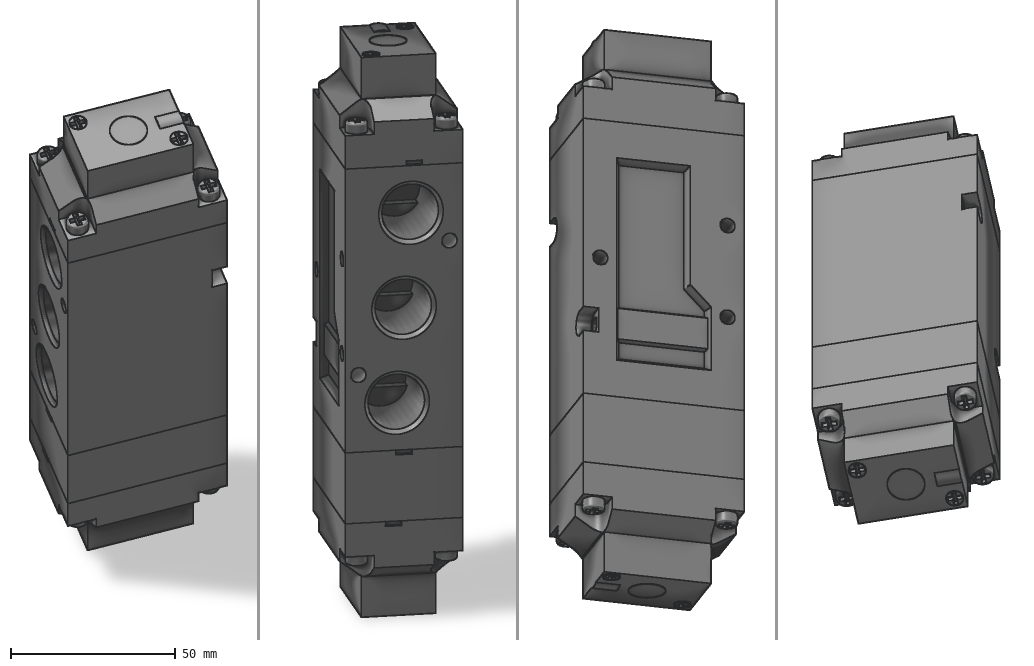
import cadquery as cq
import math

WIDTH = 36.5
DEPTH = 51.0
TOTAL_HEIGHT = 178.5
JOINT_Z = 56.2
BODY_HEIGHT = 90.0
BODY_BOTTOM = JOINT_Z - BODY_HEIGHT
BODY_MID = JOINT_Z - BODY_HEIGHT / 2

COVER_HEIGHT = 19.5
COVER_SLOPE_HEIGHT = 5.0
COVER_TOP_WIDTH = 23.0
COVER_TOP_DEPTH = 35.0
SCREW_X = 14.0
SCREW_Y = 21.0
SCREW_SEAT_HEIGHT = 10.5
SCREW_CLEARANCE_RADIUS = 4.6
SCREW_HEAD_RADIUS = 3.4
SCREW_HEAD_HEIGHT = 3.5
SCREW_HEAD_ROUND = 1.0

CAP_WIDTH = COVER_TOP_WIDTH
CAP_DEPTH = 34.0
RIDGE_HEIGHT = 0.5
RIDGE_WIDTH = 5.0
RIDGE_LENGTH = 7.7
CAP_HEIGHT = TOTAL_HEIGHT / 2 - JOINT_Z - COVER_HEIGHT - RIDGE_HEIGHT
CAP_SCREW_X = 7.9
CAP_SCREW_Y = 13.5
CAP_SCREW_RADIUS = 2.7
CAP_DISC_RADIUS = 5.7
SHALLOW_RECESS = 0.2

CROSS_WIDTH = 1.5
CROSS_DEPTH = 1.5
CROSS_TAPER = 15.0
CROSS_MARGIN = 0.27

NOTCH_WIDTH = 5.0
NOTCH_HEIGHT = 1.5
NOTCH_DEPTH = 1.5
NOTCH_STEP = 3.2

PORT_PITCH = 30.0
PORT_SHIFT = 2.1
PORT_MOUTH_RADIUS = 10.0
PORT_RADIUS = 8.7
PORT_END_RADIUS = 8.4
PORT_DEPTH = DEPTH / 2
PASSAGE_PITCH = 29.0
PASSAGE_HEIGHT = 7.0
PASSAGE_DEPTH = 3.5

MOUNT_X = 14.1
MOUNT_Z = 20.5
MOUNT_RADIUS = 2.3
MOUNT_SLOT_RADIUS = 4.0
MOUNT_SLOT_DEPTH = 4.8

SIDE_HOLE_Y = 20.2
SIDE_HOLE_Z = 15.0
SIDE_HOLE_RADIUS = 2.3
SIDE_HOLE_DEPTH = 9.0

PANEL_HALF_WIDTH = 15.0
PANEL_TOP = 44.5
PANEL_BOTTOM = -21.8
PANEL_STEP_Y = -8.4
PANEL_STEP_TOP = 5.5
PANEL_DEPTH = 2.5
PANEL_WALL_ANGLE = 30.0
PAD_TOP = -3.5
PAD_BOTTOM = -15.0
PAD_HEIGHT = 1.2


def block(width, depth, z_bottom, height):
    """Box centred on the Z axis."""
    return cq.Workplane("XY", origin=(0, 0, z_bottom)).box(width, depth, height, centered=(True, True, False))


def disc(x, y, z_bottom, radius, height):
    """Upright cylinder."""
    return cq.Workplane("XY", origin=(x, y, z_bottom)).circle(radius).extrude(height)


def cross_slot(x, y, z_top, length):
    """Cutter for a cross-shaped driver slot."""
    plane = cq.Workplane("XY", origin=(x, y, z_top))
    along_x = plane.rect(length, CROSS_WIDTH).extrude(-CROSS_DEPTH, taper=CROSS_TAPER)
    along_y = plane.rect(CROSS_WIDTH, length).extrude(-CROSS_DEPTH, taper=CROSS_TAPER)
    return along_x.union(along_y)


def key_notch(x, z_bottom):
    """Cutter for a small notch in the -Y face."""
    cutter = cq.Workplane("XY").box(NOTCH_WIDTH, NOTCH_DEPTH, NOTCH_HEIGHT, centered=(True, False, False))
    return cutter.translate((x, -DEPTH / 2, z_bottom))


def corner_clearance(side_x, side_y):
    """Cutter that frees one cover corner around its screw, with a round inner corner."""
    seat_z = JOINT_Z + SCREW_SEAT_HEIGHT
    height = COVER_HEIGHT - SCREW_SEAT_HEIGHT
    side_length = 4 * SCREW_CLEARANCE_RADIUS
    square = (
        cq.Workplane("XY", origin=(0, 0, seat_z))
        .center(
            side_x * (SCREW_X + SCREW_CLEARANCE_RADIUS),
            side_y * (SCREW_Y + SCREW_CLEARANCE_RADIUS),
        )
        .rect(side_length, side_length)
        .extrude(height)
    )
    inner_edge = cq.NearestToPointSelector((0, 0, seat_z))
    return square.edges("|Z").edges(inner_edge).fillet(SCREW_CLEARANCE_RADIUS)


def screw_head(x, y):
    """Round-edged screw head with a cross slot."""
    seat_z = JOINT_Z + SCREW_SEAT_HEIGHT
    head = disc(x, y, seat_z, SCREW_HEAD_RADIUS, SCREW_HEAD_HEIGHT)
    head = head.faces(">Z").edges().fillet(SCREW_HEAD_ROUND)
    slot_length = 2 * (SCREW_HEAD_RADIUS - SCREW_HEAD_ROUND)
    return head.cut(cross_slot(x, y, seat_z + SCREW_HEAD_HEIGHT, slot_length))


def make_cover():
    """Upper end cover: block with four sloping shoulders and a screw in each corner."""
    straight_height = COVER_HEIGHT - COVER_SLOPE_HEIGHT
    cover = block(WIDTH, DEPTH, JOINT_Z, straight_height)
    shoulders = (
        cq.Workplane("XY", origin=(0, 0, JOINT_Z + straight_height))
        .rect(WIDTH, DEPTH)
        .workplane(offset=COVER_SLOPE_HEIGHT)
        .rect(COVER_TOP_WIDTH, COVER_TOP_DEPTH)
        .loft(ruled=True)
    )
    cover = cover.union(shoulders)
    for side_x in (-1, 1):
        for side_y in (-1, 1):
            cover = cover.cut(corner_clearance(side_x, side_y))
            cover = cover.union(screw_head(side_x * SCREW_X, side_y * SCREW_Y))
    return cover.cut(key_notch(NOTCH_STEP, JOINT_Z))


def make_cap():
    """Upper end cap: block with two screws, a shallow disc and a low rounded ridge."""
    bottom = JOINT_Z + COVER_HEIGHT
    top = bottom + CAP_HEIGHT
    cap = block(CAP_WIDTH, CAP_DEPTH, bottom, CAP_HEIGHT)
    cap = cap.cut(disc(0, 0, top, CAP_DISC_RADIUS, -SHALLOW_RECESS))
    cross_length = 2 * (CAP_SCREW_RADIUS - CROSS_MARGIN)
    for side in (-1, 1):
        x = side * CAP_SCREW_X
        y = side * CAP_SCREW_Y
        cap = cap.cut(disc(x, y, top, CAP_SCREW_RADIUS, -SHALLOW_RECESS))
        cap = cap.cut(cross_slot(x, y, top, cross_length))
    ridge = (
        cq.Workplane("XZ", origin=(0, CAP_DEPTH / 2, top))
        .moveTo(-RIDGE_WIDTH / 2, 0)
        .threePointArc((0, RIDGE_HEIGHT), (RIDGE_WIDTH / 2, 0))
        .close()
        .extrude(RIDGE_LENGTH)
    )
    return cap.union(ridge)


def port_cutter(step):
    """Cutter for one port: 45 degree mouth, slightly tapered bore, flat passage at its end."""
    x = step * PORT_SHIFT
    z = BODY_MID + step * PORT_PITCH
    mouth_depth = PORT_MOUTH_RADIUS - PORT_RADIUS
    bore = (
        cq.Workplane("XY")
        .polyline([
            (0, 0),
            (PORT_MOUTH_RADIUS, 0),
            (PORT_RADIUS, mouth_depth),
            (PORT_END_RADIUS, PORT_DEPTH),
            (0, PORT_DEPTH),
        ])
        .close()
        .revolve(360, (0, 0), (0, 1))
        .translate((x, -DEPTH / 2, z))
    )
    end_y = PORT_DEPTH - DEPTH / 2
    passage_z = BODY_MID + step * PASSAGE_PITCH
    passage = (
        cq.Workplane("XZ", origin=(x, end_y, z))
        .circle(PORT_END_RADIUS)
        .extrude(-PASSAGE_DEPTH)
        .intersect(block(WIDTH, DEPTH, passage_z - PASSAGE_HEIGHT / 2, PASSAGE_HEIGHT))
    )
    return bore.union(passage)


def mount_cutter(side):
    """Cutter for one mounting hole along Y and its head slot at the +Y end."""
    x = side * MOUNT_X
    z = BODY_MID + side * MOUNT_Z
    plane = cq.Workplane("XZ", origin=(x, DEPTH / 2, z))
    hole = plane.circle(MOUNT_RADIUS).extrude(DEPTH)
    round_end = plane.circle(MOUNT_SLOT_RADIUS).extrude(MOUNT_SLOT_DEPTH)
    edge_distance = WIDTH / 2 - MOUNT_X
    open_side = (
        plane.center(side * edge_distance / 2, 0)
        .rect(edge_distance, 2 * MOUNT_SLOT_RADIUS)
        .extrude(MOUNT_SLOT_DEPTH)
    )
    return hole.union(round_end).union(open_side)


def side_hole(y, z):
    """Cutter for a blind hole in the -X face."""
    return cq.Workplane("YZ", origin=(-WIDTH / 2, y, z)).circle(SIDE_HOLE_RADIUS).extrude(SIDE_HOLE_DEPTH)


def panel_cutter():
    """Cutter for the recessed panel with leaning walls, leaving a raised pad across its floor."""
    slant_run = PANEL_STEP_Y + PANEL_HALF_WIDTH
    recess = (
        cq.Workplane("YZ", origin=(-WIDTH / 2, 0, 0))
        .polyline([
            (PANEL_HALF_WIDTH, PANEL_TOP),
            (PANEL_STEP_Y, PANEL_TOP),
            (PANEL_STEP_Y, PANEL_STEP_TOP),
            (-PANEL_HALF_WIDTH, PANEL_STEP_TOP - slant_run),
            (-PANEL_HALF_WIDTH, PANEL_BOTTOM),
            (PANEL_HALF_WIDTH, PANEL_BOTTOM),
        ])
        .close()
        .extrude(PANEL_DEPTH, taper=PANEL_WALL_ANGLE)
    )
    floor_x = PANEL_DEPTH - WIDTH / 2
    pad_run = PAD_HEIGHT * math.tan(math.radians(PANEL_WALL_ANGLE))
    pad = (
        cq.Workplane("XZ")
        .polyline([
            (floor_x, PAD_TOP),
            (floor_x - PAD_HEIGHT, PAD_TOP - pad_run),
            (floor_x - PAD_HEIGHT, PAD_BOTTOM + pad_run),
            (floor_x, PAD_BOTTOM),
        ])
        .close()
        .extrude(DEPTH / 2, both=True)
    )
    return recess.cut(pad)


def make_body():
    """Valve body with three ports, two mounting holes, three blind holes and the panel."""
    body = block(WIDTH, DEPTH, BODY_BOTTOM, BODY_HEIGHT)
    for step in (-1, 0, 1):
        body = body.cut(port_cutter(step))
    for side in (-1, 1):
        body = body.cut(mount_cutter(side))
        body = body.cut(side_hole(-SIDE_HOLE_Y, BODY_MID + side * SIDE_HOLE_Z))
    body = body.cut(side_hole(SIDE_HOLE_Y, BODY_MID))
    return body.cut(panel_cutter())


def make_spacer():
    """Block between the body and the lower cover, with one keying notch."""
    height = BODY_BOTTOM + JOINT_Z
    spacer = block(WIDTH, DEPTH, -JOINT_Z, height)
    return spacer.cut(key_notch(0, BODY_BOTTOM - NOTCH_HEIGHT))


def turned_over(upper):
    """Lower copy of an upper end part: a half turn about the Y axis."""
    return upper.rotate((0, 0, 0), (0, 1, 0), 180)


body = make_body()
spacer = make_spacer()
upper_cover = make_cover()
upper_cap = make_cap()

result = cq.Compound.makeCompound([
    body.val(),
    spacer.val(),
    upper_cover.val(),
    upper_cap.val(),
    turned_over(upper_cover).val(),
    turned_over(upper_cap).val(),
])